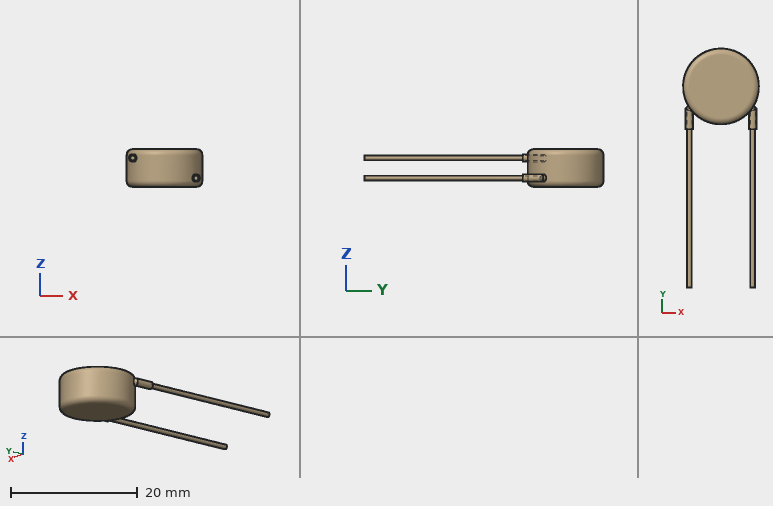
import cadquery as cq
import math

disc_diameter = 12.0
disc_thickness = 6.0
rim_fillet = 1.0
disc_radius = disc_diameter / 2

lead_spacing = 10.0
lead_height_offset = 1.6
wire_diameter = 0.8
total_length = 37.75
wire_tip_y = disc_radius - total_length

sleeve_diameter = 1.2
sleeve_overhang = 0.75
sleeve_end_y = -disc_radius - sleeve_overhang
bend_y = -3.75
bend_angle = 45
bent_length = 2.25

lead_sides = (-1, 1)


def lead_position(side):
    """X and Z of a lead axis; side is -1 or +1."""
    return side * lead_spacing / 2, -side * lead_height_offset


def circle_facing_y(side, y, diameter):
    """Circle around a lead axis, on a plane square to Y."""
    x, z = lead_position(side)
    plane = cq.Plane(origin=(x, y, z), xDir=(1, 0, 0), normal=(0, 1, 0))
    return cq.Workplane(plane).circle(diameter / 2)


def make_sleeve(side):
    """Sleeve parallel to Y that turns inward, with a mitred corner, into the disc."""
    x, z = lead_position(side)
    angle = math.radians(bend_angle)
    inner_x = x - side * bent_length * math.sin(angle)
    inner_y = bend_y + bent_length * math.cos(angle)
    path = cq.Workplane("XY", origin=(0, 0, z)).polyline(
        [(x, sleeve_end_y), (x, bend_y), (inner_x, inner_y)]
    )
    return circle_facing_y(side, sleeve_end_y, sleeve_diameter).sweep(path, transition="right")


def make_lead(side):
    """Straight wire from its free tip to the bend of the sleeve."""
    return circle_facing_y(side, wire_tip_y, wire_diameter).extrude(bend_y - wire_tip_y)


def make_housing():
    """Rounded disc and its two sleeves, with a matching blind hole for each lead."""
    housing = (
        cq.Workplane("XY", origin=(0, 0, -disc_thickness / 2))
        .circle(disc_radius)
        .extrude(disc_thickness)
        .faces("|Z")
        .edges()
        .fillet(rim_fillet)
    )
    for side in lead_sides:
        housing = housing.union(make_sleeve(side)).cut(make_lead(side))
    return housing.solids()


housing = make_housing()
leads = [make_lead(side) for side in lead_sides]

result = cq.Compound.makeCompound([housing.val(), *[lead.val() for lead in leads]])